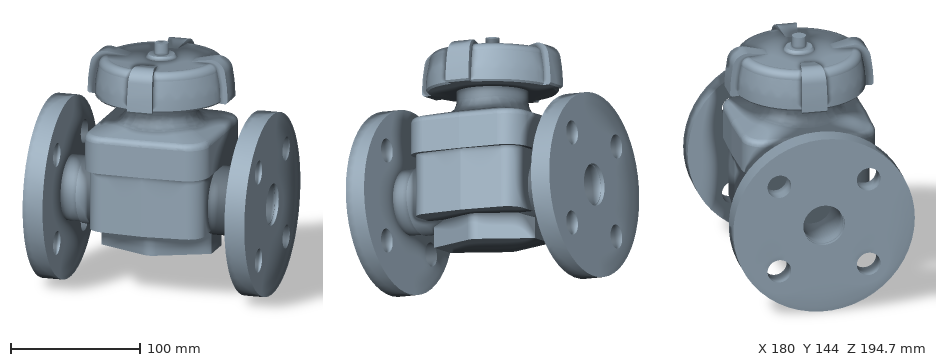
import cadquery as cq
import math


face_to_face = 180.0
total_height = 194.7
flange_diameter = 144.0
stem_top_z = total_height - flange_diameter / 2

flange_thickness = 16.2
hub_diameter = 51.5
hub_length = 12.7
lip_bore_diameter = 33.0
lip_depth = 3.0
spigot_diameter = 40.0
bolt_circle_diameter = 100.0
bolt_hole_diameter = 18.7
bolt_count = 4

port_diameter = 32.0
collar_diameter = 54.0
body_half_x = 46.2
body_corner_y = 47.3
body_middle_y = 51.0
body_corner_radius = 12.9
body_bottom_z = -19.9
joint_z = 28.2
foot_half_x = 44.5
foot_end_y = 12.9
foot_middle_y = 33.3
foot_middle_radius = 11.0
foot_bottom_z = -40.1

bonnet_half_x = 50.0
bonnet_corner_y = 52.4
bonnet_middle_y = 53.5
bonnet_corner_radius = 17.3
shoulder_z = 56.5
shoulder_radius = 4.9
roof_inset = 32.1
roof_rise = 8.0
roof_corner_radius = 10.7
neck_diameter = 56.0
neck_fillet_radius = 11.0

wheel_bottom_z = 80.2
wheel_top_z = 111.2
wheel_bottom_radius = 51.5
wheel_bottom_chamfer = 1.5
wheel_waist_radius = 50.8
wheel_waist_z = 94.5
wheel_shoulder_radius = 48.7
wheel_shoulder_z = 105.2
wheel_flat_radius = 41.0
wheel_rounding_sag = 1.8
grip_count = 4
grip_inner_radius = 25.7
grip_crest_radius = 43.5
grip_crest_z = 114.3
grip_crest_rounding = 11.5
grip_ramp_end_z = 114.1
grip_shoulder_radius = 54.7
grip_shoulder_z = 104.5
grip_waist_radius = 56.3
grip_waist_z = 93.3
grip_outer_radius = 56.9
grip_bottom_chamfer = 1.5
grip_inner_half_width = 4.9
grip_outer_half_width = 10.1
boss_base_radius = 12.3
boss_top_radius = 10.3
boss_top_z = 114.0
stem_diameter = 11.0

flange_face_x = face_to_face / 2
hub_end_x = flange_face_x - flange_thickness - hub_length
spigot_end_x = flange_face_x - lip_depth


def cylinder_x(diameter, start_x, end_x):
    """Cylinder on the flow axis between two X positions."""
    return cq.Workplane("YZ", origin=(start_x, 0, 0)).circle(diameter / 2).extrude(end_x - start_x)


def crowned_outline(half_x, corner_y, middle_y, corner_radius):
    """Rounded rectangle whose front and back edges bulge to a blunt point at the middle."""
    points = [
        (half_x, -corner_y),
        (half_x, corner_y),
        (0, middle_y),
        (-half_x, corner_y),
        (-half_x, -corner_y),
        (0, -middle_y),
        (half_x, -corner_y),
    ]
    return cq.Sketch().polygon(points).vertices(">X or <X").fillet(corner_radius)


def make_flange(turn):
    """Bolted flange with a socket hub, turned about Z onto its end of the valve."""
    disc = cylinder_x(flange_diameter, flange_face_x - flange_thickness, flange_face_x)
    hub = cylinder_x(hub_diameter, hub_end_x, flange_face_x)
    lip_bore = cylinder_x(lip_bore_diameter, hub_end_x, flange_face_x)
    socket = cylinder_x(spigot_diameter, hub_end_x, spigot_end_x)
    bolt_holes = (
        cq.Workplane("YZ", origin=(flange_face_x, 0, 0))
        .polarArray(bolt_circle_diameter / 2, 360 / bolt_count / 2, 360, bolt_count)
        .circle(bolt_hole_diameter / 2)
        .extrude(-flange_thickness)
    )
    flange = disc.union(hub).cut(lip_bore).cut(socket).cut(bolt_holes)
    return flange.rotate((0, 0, 0), (0, 0, 1), turn)


def make_foot():
    """Lozenge-shaped foot under the body with a rounded middle on each side."""
    points = [
        (foot_half_x, -foot_end_y),
        (foot_half_x, foot_end_y),
        (0, foot_middle_y),
        (-foot_half_x, foot_end_y),
        (-foot_half_x, -foot_end_y),
        (0, -foot_middle_y),
    ]
    foot = cq.Workplane("XY", origin=(0, 0, foot_bottom_z)).polyline(points).close().extrude(-foot_bottom_z)
    return foot.edges("|Z and (>Y or <Y)").fillet(foot_middle_radius)


def make_body():
    """Valve body with its foot, end collars, spigots and blind ports."""
    outline = crowned_outline(body_half_x, body_corner_y, body_middle_y, body_corner_radius)
    block = (
        cq.Workplane("XY", origin=(0, 0, body_bottom_z))
        .placeSketch(outline)
        .extrude(joint_z - body_bottom_z)
    )
    collars = cylinder_x(collar_diameter, -hub_end_x, hub_end_x)
    spigots = cylinder_x(spigot_diameter, -spigot_end_x, spigot_end_x)
    body = block.union(make_foot()).union(collars).union(spigots)
    for side in (-1, 1):
        body = body.cut(cylinder_x(port_diameter, side * body_half_x, side * spigot_end_x))
    return body


def make_bonnet():
    """Crowned block with a sloping roof that runs up into the round neck."""
    base = crowned_outline(bonnet_half_x, bonnet_corner_y, bonnet_middle_y, bonnet_corner_radius)
    roof_top = crowned_outline(
        bonnet_half_x - roof_inset,
        bonnet_corner_y - roof_inset,
        bonnet_middle_y - roof_inset,
        roof_corner_radius,
    )
    block = cq.Workplane("XY", origin=(0, 0, joint_z)).placeSketch(base).extrude(shoulder_z - joint_z)
    roof = (
        cq.Workplane("XY", origin=(0, 0, shoulder_z))
        .placeSketch(base, roof_top.moved(cq.Location(cq.Vector(0, 0, roof_rise))))
        .loft(ruled=True)
    )
    neck = (
        cq.Workplane("XY", origin=(0, 0, shoulder_z))
        .circle(neck_diameter / 2)
        .extrude(wheel_bottom_z - shoulder_z)
    )
    edge_margin = 0.2
    shoulder_edges = cq.selectors.BoxSelector(
        (-bonnet_half_x - edge_margin, -bonnet_middle_y - edge_margin, shoulder_z - edge_margin),
        (bonnet_half_x + edge_margin, bonnet_middle_y + edge_margin, shoulder_z + edge_margin),
    )
    neck_root_edges = cq.selectors.BoxSelector(
        (-neck_diameter / 2, -neck_diameter / 2, shoulder_z + edge_margin),
        (neck_diameter / 2, neck_diameter / 2, shoulder_z + roof_rise),
    )
    bonnet = block.union(roof).edges(shoulder_edges).fillet(shoulder_radius)
    return bonnet.union(neck).edges(neck_root_edges).fillet(neck_fillet_radius)


def make_wheel_rim():
    """Drum of the handwheel with a bulging side and a rounded top edge."""
    return (
        cq.Workplane("XZ")
        .moveTo(0, wheel_bottom_z)
        .lineTo(wheel_bottom_radius - wheel_bottom_chamfer, wheel_bottom_z)
        .lineTo(wheel_bottom_radius, wheel_bottom_z + wheel_bottom_chamfer)
        .threePointArc((wheel_waist_radius, wheel_waist_z), (wheel_shoulder_radius, wheel_shoulder_z))
        .threePointArc(
            (wheel_shoulder_radius - wheel_rounding_sag, wheel_top_z - wheel_rounding_sag),
            (wheel_flat_radius, wheel_top_z),
        )
        .lineTo(0, wheel_top_z)
        .close()
        .revolve(360, (0, 0, 0), (0, 1, 0))
    )


def make_grip(angle):
    """One grip of the handwheel: a side profile trimmed to a wedge that widens outwards."""
    crest_sag = grip_crest_rounding * (1 - math.cos(math.pi / 4))
    crest_reach = grip_crest_rounding * math.sin(math.pi / 4)
    profile = (
        cq.Workplane("XZ", origin=(0, grip_outer_half_width, 0))
        .moveTo(grip_inner_radius, wheel_bottom_z)
        .lineTo(grip_outer_radius - grip_bottom_chamfer, wheel_bottom_z)
        .lineTo(grip_outer_radius, wheel_bottom_z + grip_bottom_chamfer)
        .threePointArc((grip_waist_radius, grip_waist_z), (grip_shoulder_radius, grip_shoulder_z))
        .threePointArc(
            (grip_crest_radius + crest_reach, grip_crest_z - crest_sag),
            (wheel_flat_radius, grip_ramp_end_z),
        )
        .lineTo(grip_inner_radius, wheel_top_z)
        .close()
        .extrude(2 * grip_outer_half_width)
    )
    wedge = (
        cq.Workplane("XY", origin=(0, 0, wheel_bottom_z))
        .polyline([
            (grip_inner_radius, -grip_inner_half_width),
            (grip_outer_radius, -grip_outer_half_width),
            (grip_outer_radius, grip_outer_half_width),
            (grip_inner_radius, grip_inner_half_width),
        ])
        .close()
        .extrude(stem_top_z - wheel_bottom_z)
    )
    return profile.intersect(wedge).rotate((0, 0, 0), (0, 0, 1), angle)


def make_handwheel():
    """Handwheel with its grips, central boss and position stem."""
    wheel = make_wheel_rim()
    for index in range(grip_count):
        wheel = wheel.union(make_grip(index * 360 / grip_count))
    boss = (
        cq.Workplane("XY", origin=(0, 0, wheel_top_z))
        .circle(boss_base_radius)
        .workplane(offset=boss_top_z - wheel_top_z)
        .circle(boss_top_radius)
        .loft()
    )
    stem = (
        cq.Workplane("XY", origin=(0, 0, wheel_top_z))
        .circle(stem_diameter / 2)
        .extrude(stem_top_z - wheel_top_z)
    )
    return wheel.union(boss).union(stem)


def make_actuator():
    """Bonnet and handwheel unit that sits on the valve body."""
    return make_bonnet().union(make_handwheel())


body = make_body()
actuator = make_actuator()
flanges = [make_flange(turn) for turn in (0, 180)]

result = cq.Compound.makeCompound([body.val(), actuator.val(), *[flange.val() for flange in flanges]])